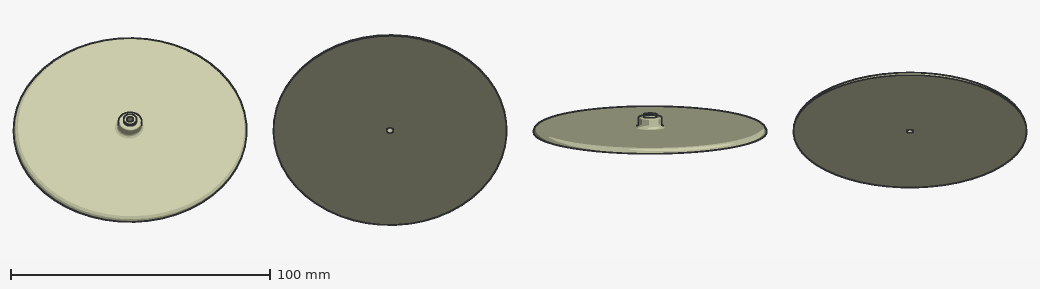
import cadquery as cq
import math

disc_radius = 45.0
disc_thickness = 2.0

hub_radius = 9.0 / 2
hub_top = 6.0
hub_edge_round = 0.5
hub_root_fillet = 1.5
collar_radius = 5.0 / 2
collar_top = 7.0
bore_radius = 2.5 / 2

DIAGONAL = math.sqrt(0.5)


def arc_middle(center, radius, r_sign, z_sign):
    """Midpoint of a quarter arc in the (r, z) half-plane."""
    offset = radius * DIAGONAL
    return (center[0] + r_sign * offset, center[1] + z_sign * offset)


rim_center = (disc_radius - disc_thickness, 0)
root_center = (hub_radius + hub_root_fillet, disc_thickness + hub_root_fillet)
edge_center = (hub_radius - hub_edge_round, hub_top - hub_edge_round)

half_section = (
    cq.Workplane("XZ")
    .moveTo(bore_radius, 0)
    .lineTo(disc_radius, 0)
    .threePointArc(
        arc_middle(rim_center, disc_thickness, 1, 1),
        (rim_center[0], disc_thickness),
    )
    .lineTo(root_center[0], disc_thickness)
    .threePointArc(
        arc_middle(root_center, hub_root_fillet, -1, -1),
        (hub_radius, root_center[1]),
    )
    .lineTo(hub_radius, edge_center[1])
    .threePointArc(
        arc_middle(edge_center, hub_edge_round, 1, 1),
        (edge_center[0], hub_top),
    )
    .lineTo(collar_radius, hub_top)
    .lineTo(collar_radius, collar_top)
    .lineTo(bore_radius, collar_top)
    .close()
)

result = half_section.revolve(360, (0, 0, 0), (0, 1, 0))